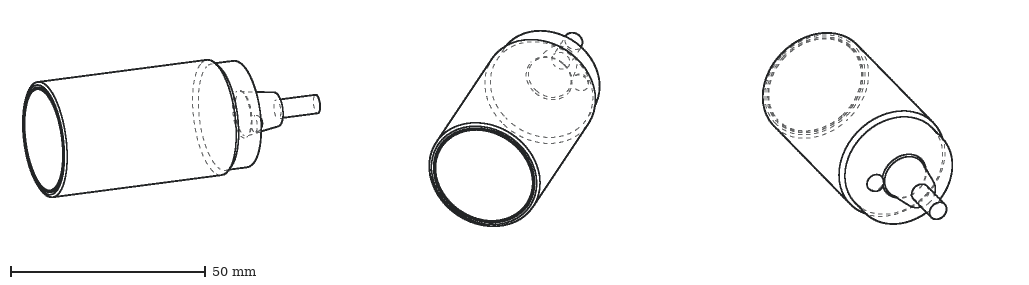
import cadquery as cq

total_length = 75.9
front_y = -total_length / 2
cable_end_y = total_length / 2
cable_length = 11.0
boot_length = 9.9
cap_length = 6.45
boot_end_y = cable_end_y - cable_length
cap_end_y = boot_end_y - boot_length
shoulder_y = cap_end_y - cap_length

body_radius = 14.99
cap_radius = 13.85
shoulder_chamfer = body_radius - cap_radius
front_chamfer_width = 0.75
front_chamfer_length = 0.45
cap_edge_fillet = 0.45

groove_outer_radius = 13.65
groove_inner_radius = 13.1
groove_middle_radius = (groove_outer_radius + groove_inner_radius) / 2
groove_depth = 0.2

boot_base_radius = 5.8
boot_tip_radius = 4.4
boot_tip_fillet = 0.45
boot_base_flare = 0.45
cable_radius = 2.4

light_radius = 2.3
light_offset_x = 8.3


def revolve_about_y(profile):
    """Turn a closed (radius, y) profile about the Y axis."""
    return profile.close().revolve(360, (0, 0, 0), (0, 1, 0))


def make_housing():
    """Cylindrical body with a chamfered front, a sloped shoulder and a narrower cap."""
    profile = (
        cq.Workplane("XY")
        .moveTo(0, front_y)
        .lineTo(body_radius - front_chamfer_width, front_y)
        .lineTo(body_radius, front_y + front_chamfer_length)
        .lineTo(body_radius, shoulder_y - shoulder_chamfer)
        .lineTo(cap_radius, shoulder_y)
        .lineTo(cap_radius, cap_end_y)
        .lineTo(0, cap_end_y)
    )
    return revolve_about_y(profile).faces(">Y").edges().fillet(cap_edge_fillet)


def make_boot():
    """Cone around the cable, rounded at its tip and flared where it meets the cap."""
    profile = (
        cq.Workplane("XY")
        .moveTo(0, cap_end_y)
        .lineTo(boot_base_radius + boot_base_flare, cap_end_y)
        .lineTo(boot_base_radius, cap_end_y + boot_base_flare)
        .lineTo(boot_tip_radius, boot_end_y)
        .lineTo(0, boot_end_y)
    )
    return revolve_about_y(profile).faces(">Y").edges().fillet(boot_tip_fillet)


def make_cable():
    profile = (
        cq.Workplane("XY")
        .moveTo(0, cap_end_y)
        .lineTo(cable_radius, cap_end_y)
        .lineTo(cable_radius, cable_end_y)
        .lineTo(0, cable_end_y)
    )
    return revolve_about_y(profile)


def make_light():
    """Sphere centred on the cap face, so half of it stands out as a dome."""
    return cq.Workplane("XY").sphere(light_radius).translate((light_offset_x, cap_end_y, 0))


def make_face_groove():
    """Shallow V-shaped ring cut into the front that outlines the sensing face."""
    profile = (
        cq.Workplane("XY")
        .moveTo(groove_inner_radius, front_y)
        .lineTo(groove_outer_radius, front_y)
        .lineTo(groove_middle_radius, front_y + groove_depth)
    )
    return revolve_about_y(profile)


result = (
    make_housing()
    .union(make_boot())
    .union(make_cable())
    .union(make_light())
    .cut(make_face_groove())
)